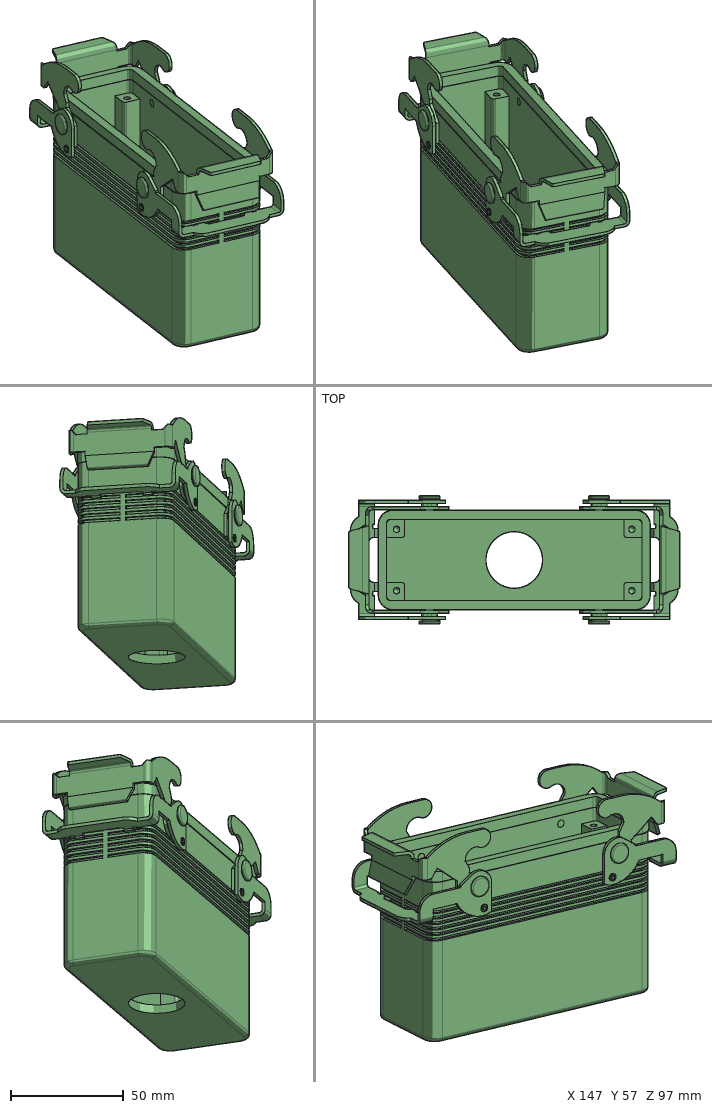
import cadquery as cq
import math

BODY_LENGTH = 120.0
BODY_WIDTH = 43.6
BODY_CORNER_R = 6.2
HOUSING_HEIGHT = 81.1
RIM_HEIGHT = 5.1
RIM_OVERHANG = 0.35
BOTTOM_EDGE_R = 2.0

CAVITY_LENGTH = 113.2
CAVITY_WIDTH = 35.8
CAVITY_CORNER_R = 1.8
CAVITY_RELIEF = 0.2
FLOOR_THICKNESS = 4.0
CABLE_HOLE_D = 25.0

POST_SIZE = 8.0
POST_EDGE_R = 1.5
POST_TOP = 69.5
POST_HOLE_D = 2.8
POST_HOLE_CONE_DEPTH = 0.85
POST_HOLE_DEPTH = 12.0
POST_HOLE_X = 52.2
POST_HOLE_Y = 13.6

GROOVE_COUNT = 6
GROOVE_TOP = 62.5
GROOVE_HEIGHT = 1.3
GROOVE_DEPTH = 1.3
GROOVE_PITCH = 2 * GROOVE_HEIGHT
END_RIB_WIDTH = 2.7

MARGIN = 1.0

SHEET = 1.5
PIVOT_X = -37.6
PIVOT_Z = 72.0
HOOK_OUTER_Y = 23.7
BAIL_OUTER_Y = 26.5
OVERALL_WIDTH = 57.0

PIN_SHANK_D = 3.4
PIN_HEAD_D = 9.4
PIN_HEAD_THICKNESS = 1.5
PIN_HEAD_EDGE_R = 0.6
PIN_NECK_D = 6.8
SPACER_LENGTH = 7.1
SPACER_HEIGHT = 5.2

HOOK_BACK_X = -65.9
HOOK_BEND_R = 2.8
HOOK_TOP = 97.0
HOOK_TIP_R = 4.3
HOOK_MOUTH_R = 5.25
HOOK_TIP_X = -33.35
HOOK_MOUTH_X = -37.5
HOOK_SHOULDER_X = -41.5
HOOK_BACK_TOP = 89.5
HOOK_BACK_BOTTOM = 79.3
HOOK_NECK_X = -40.5
HOOK_NECK_LOW_Z = 78.0
HOOK_NECK_TOP_Z = 80.3
HOOK_NOTCH_START_X = -61.0
HOOK_NOTCH_X = -57.7
HOOK_NOTCH_Z = 83.6
HOOK_HEEL_X = -46.9
HOOK_HEEL_TOP_Z = 75.2
HOOK_HEEL_LOW_Z = 70.3
HOOK_FOOT_X = -33.0
HOOK_FOOT_Z = 61.7

FINGER_TAB_X = -73.485
FINGER_TAB_TOP = 90.75
FINGER_TAB_TIP_WIDTH = 25.3
FINGER_TAB_ROOT_WIDTH = 30.4
FINGER_TAB_BEND_R = 1.35
FINGER_TAB_CORNER_R = 1.0
BACK_RECESS_Z = 87.15
BACK_RECESS_OUTER_Y = 19.9
SKIRT_TOP_WIDTH = 31.6
SKIRT_TIP_WIDTH = 27.4
SKIRT_BEND_Z = 77.3
SKIRT_TIP_X = -69.0
SKIRT_TIP_Z = 70.6
SKIRT_EDGE_R = 0.3

ARM_OUTER_X = -69.05
ARM_INNER_X = -61.9
ARM_TOP = 73.05
ARM_BOTTOM = 65.9
EYE_X = -37.3
EYE_R = 6.9
EYE_START_X = -40.6
ARM_STEP_X = -47.2
ARM_STEP_Z = 73.9
LOBE_LOW_X = -35.6
LOBE_LOW_Z = 57.3
LOBE_RIGHT_R = 13.7
LOBE_RIGHT_Z = 58.3
LOBE_MIDDLE_X = -43.2
LOBE_MIDDLE_Z = 59.6
LOBE_START_X = -49.1
CROSS_BOTTOM = 59.6
BAIL_BEND_R = 2.7
CROSS_LIP_X = -72.65
CROSS_LIP_HALF_WIDTH = 13.9
CROSS_LIP_ROOT_Y = 19.2
CROSS_LIP_CURVE_X = -71.3
CROSS_LIP_CURVE_Y = 17.2
CROSS_WINDOW_X = -64.5
CROSS_WINDOW_R = 2.2
RIVET_X = -34.6
RIVET_Z = 60.9
RIVET_D = 3.4
RIVET_HOLE_D = 1.8
RIVET_PROUD = 0.45
CATCH_INNER_Y = 9.9
CATCH_OUTER_Y = 14.0
CATCH_NOTCH_Y = 15.8
CATCH_NOTCH_X = -62.7
CATCH_TIP_X = -59.4
CATCH_CLEARANCE = 0.1


def rounded_block(length, width, corner_r, z_low, z_high):
    block = cq.Workplane("XY").workplane(offset=z_low).rect(length, width).extrude(z_high - z_low)
    return block.edges("|Z").fillet(corner_r)


def plate_along_y(outline, outer_y, thickness=SHEET):
    """Extrude a closed XZ outline inward (toward -Y) from the plane Y = outer_y."""
    return outline.extrude(thickness).translate((0, outer_y, 0))


def both_sides(shape):
    """The shape together with its mirror image across the XZ plane."""
    return shape.union(shape.mirror("XZ"))


def groove_band(top):
    """Ring cut around the body, interrupted by a rib in the middle of each end."""
    low = top - GROOVE_HEIGHT
    outside = rounded_block(
        BODY_LENGTH + 2 * MARGIN, BODY_WIDTH + 2 * MARGIN, BODY_CORNER_R + MARGIN, low, top
    )
    root = rounded_block(
        BODY_LENGTH - 2 * GROOVE_DEPTH,
        BODY_WIDTH - 2 * GROOVE_DEPTH,
        BODY_CORNER_R - GROOVE_DEPTH,
        low,
        top,
    )
    rib = cq.Workplane("XY").workplane(offset=low).rect(2 * BODY_LENGTH, END_RIB_WIDTH)
    rib = rib.extrude(GROOVE_HEIGHT)
    return outside.cut(root).cut(rib)


def corner_post(side_x, side_y):
    """Square screw post in one corner of the cavity."""
    reach = POST_SIZE + CAVITY_RELIEF + MARGIN
    centre_x = CAVITY_LENGTH / 2 - POST_SIZE + reach / 2
    centre_y = CAVITY_WIDTH / 2 - POST_SIZE + reach / 2
    post = cq.Workplane("XY").box(reach, reach, POST_TOP - FLOOR_THICKNESS, centered=(True, True, False))
    post = post.edges("|Z").edges("<X and <Y").fillet(POST_EDGE_R)
    post = post.translate((centre_x, centre_y, FLOOR_THICKNESS))
    hole = (
        cq.Workplane("XY")
        .workplane(offset=POST_TOP - POST_HOLE_DEPTH)
        .center(POST_HOLE_X, POST_HOLE_Y)
        .circle(POST_HOLE_D / 2)
        .extrude(POST_HOLE_DEPTH)
    )
    cone = cq.Workplane(
        cq.Solid.makeCone(
            POST_HOLE_D / 2,
            0,
            POST_HOLE_CONE_DEPTH,
            pnt=cq.Vector(POST_HOLE_X, POST_HOLE_Y, POST_TOP - POST_HOLE_DEPTH),
            dir=cq.Vector(0, 0, -1),
        )
    )
    post = post.cut(hole).cut(cone)
    if side_x < 0:
        post = post.mirror("YZ")
    if side_y < 0:
        post = post.mirror("XZ")
    return post


def make_housing():
    rim_z = HOUSING_HEIGHT - RIM_HEIGHT
    body = rounded_block(BODY_LENGTH, BODY_WIDTH, BODY_CORNER_R, 0, rim_z)
    body = body.faces("<Z").edges().fillet(BOTTOM_EDGE_R)
    body = body.union(
        rounded_block(
            BODY_LENGTH + 2 * RIM_OVERHANG,
            BODY_WIDTH + 2 * RIM_OVERHANG,
            BODY_CORNER_R + RIM_OVERHANG,
            rim_z,
            HOUSING_HEIGHT,
        )
    )
    for index in range(GROOVE_COUNT):
        body = body.cut(groove_band(GROOVE_TOP - index * GROOVE_PITCH))
    mouth = rounded_block(CAVITY_LENGTH, CAVITY_WIDTH, CAVITY_CORNER_R, FLOOR_THICKNESS, HOUSING_HEIGHT)
    lower_cavity = rounded_block(
        CAVITY_LENGTH + 2 * CAVITY_RELIEF,
        CAVITY_WIDTH + 2 * CAVITY_RELIEF,
        CAVITY_CORNER_R + CAVITY_RELIEF,
        FLOOR_THICKNESS,
        rim_z,
    )
    body = body.cut(mouth).cut(lower_cavity)
    for side_x in (-1, 1):
        for side_y in (-1, 1):
            body = body.union(corner_post(side_x, side_y))
    cable_hole = cq.Workplane("XY").circle(CABLE_HOLE_D / 2).extrude(FLOOR_THICKNESS)
    pivot_holes = (
        cq.Workplane("XZ")
        .pushPoints([(PIVOT_X, PIVOT_Z), (-PIVOT_X, PIVOT_Z)])
        .circle(PIN_SHANK_D / 2)
        .extrude(BODY_WIDTH, both=True)
    )
    return body.cut(cable_hole).cut(pivot_holes)


def hook_side_plate():
    """Hooked side plate; its mouth and rounded tip are tangent arcs."""
    tip_z = HOOK_TOP - HOOK_TIP_R
    centre_gap = HOOK_TIP_R + HOOK_MOUTH_R
    mouth_z = tip_z - math.sqrt(centre_gap**2 - (HOOK_TIP_X - HOOK_MOUTH_X) ** 2)
    mouth_diagonal = HOOK_MOUTH_R * math.sqrt(0.5)
    share = HOOK_MOUTH_R / centre_gap
    tangent_x = HOOK_MOUTH_X + share * (HOOK_TIP_X - HOOK_MOUTH_X)
    tangent_z = mouth_z + share * (tip_z - mouth_z)
    back_x = HOOK_BACK_X + HOOK_BEND_R
    outline = (
        cq.Workplane("XZ")
        .moveTo(HOOK_TIP_X, HOOK_TOP)
        .lineTo(HOOK_SHOULDER_X, HOOK_TOP)
        .tangentArcPoint((back_x, HOOK_BACK_TOP), relative=False)
        .lineTo(back_x, HOOK_BACK_BOTTOM)
        .lineTo(HOOK_NOTCH_START_X, HOOK_BACK_BOTTOM)
        .lineTo(HOOK_NOTCH_X, HOOK_NOTCH_Z)
        .lineTo(HOOK_HEEL_X, HOOK_HEEL_TOP_Z)
        .lineTo(HOOK_HEEL_X, HOOK_HEEL_LOW_Z)
        .tangentArcPoint((PIVOT_X, HOOK_FOOT_Z), relative=False)
        .lineTo(HOOK_FOOT_X, HOOK_FOOT_Z)
        .lineTo(HOOK_FOOT_X, PIVOT_Z)
        .lineTo(HOOK_NECK_X, HOOK_NECK_LOW_Z)
        .lineTo(HOOK_NECK_X, HOOK_NECK_TOP_Z)
        .lineTo(HOOK_MOUTH_X - HOOK_MOUTH_R, mouth_z)
        .threePointArc(
            (HOOK_MOUTH_X - mouth_diagonal, mouth_z + mouth_diagonal),
            (tangent_x, tangent_z),
        )
        .threePointArc((HOOK_TIP_X + HOOK_TIP_R, tip_z), (HOOK_TIP_X, HOOK_TOP))
        .close()
    )
    return plate_along_y(outline, HOOK_OUTER_Y)


def hook_back_plate():
    """U-bent back of the hook frame: the end plate with its two rounded bends."""
    height = HOOK_BACK_TOP - HOOK_BACK_BOTTOM
    width = 2 * HOOK_OUTER_Y
    depth = 4 * HOOK_BEND_R
    outer = rounded_block(depth, width, HOOK_BEND_R, 0, height)
    inner = rounded_block(depth - 2 * SHEET, width - 2 * SHEET, HOOK_BEND_R - SHEET, 0, height)
    ring = outer.cut(inner).translate((HOOK_BACK_X + depth / 2, 0, HOOK_BACK_BOTTOM))
    bend_zone = cq.Workplane("XY").box(HOOK_BEND_R, width, HOOK_BACK_TOP, centered=(False, True, False))
    frame = ring.intersect(bend_zone.translate((HOOK_BACK_X, 0, 0)))
    bend_y = HOOK_OUTER_Y - SHEET
    recess = (
        cq.Workplane("YZ")
        .moveTo(-bend_y, HOOK_BACK_TOP)
        .lineTo(-BACK_RECESS_OUTER_Y, BACK_RECESS_Z)
        .lineTo(BACK_RECESS_OUTER_Y, BACK_RECESS_Z)
        .lineTo(bend_y, HOOK_BACK_TOP)
        .close()
        .extrude(2 * HOOK_BACK_X)
    )
    return frame.cut(recess)


def finger_tab():
    """Tab folded outward from the top of the back plate, tapering toward its tip."""
    outer_r = FINGER_TAB_BEND_R + SHEET
    inner_x = HOOK_BACK_X + SHEET
    bend_x = inner_x - outer_r
    bend_z = FINGER_TAB_TOP - outer_r
    diagonal = math.sqrt(0.5)
    profile = (
        cq.Workplane("XZ")
        .moveTo(HOOK_BACK_X, HOOK_BACK_BOTTOM)
        .lineTo(inner_x, HOOK_BACK_BOTTOM)
        .lineTo(inner_x, bend_z)
        .threePointArc((bend_x + outer_r * diagonal, bend_z + outer_r * diagonal), (bend_x, FINGER_TAB_TOP))
        .lineTo(FINGER_TAB_X, FINGER_TAB_TOP)
        .lineTo(FINGER_TAB_X, FINGER_TAB_TOP - SHEET)
        .lineTo(bend_x, FINGER_TAB_TOP - SHEET)
        .threePointArc(
            (bend_x + FINGER_TAB_BEND_R * diagonal, bend_z + FINGER_TAB_BEND_R * diagonal),
            (HOOK_BACK_X, bend_z),
        )
        .close()
        .extrude(FINGER_TAB_ROOT_WIDTH / 2, both=True)
    )
    plan = (
        cq.Workplane("XY")
        .moveTo(inner_x, -FINGER_TAB_ROOT_WIDTH / 2)
        .lineTo(FINGER_TAB_X, -FINGER_TAB_TIP_WIDTH / 2)
        .lineTo(FINGER_TAB_X, FINGER_TAB_TIP_WIDTH / 2)
        .lineTo(inner_x, FINGER_TAB_ROOT_WIDTH / 2)
        .close()
        .extrude(FINGER_TAB_TOP)
        .edges("|Z and <X")
        .fillet(FINGER_TAB_CORNER_R)
    )
    return profile.intersect(plan)


def hook_skirt():
    """Flared lip hanging from the back plate, narrowing toward its lower edge."""
    run_x = SKIRT_TIP_X - HOOK_BACK_X
    run_z = SKIRT_TIP_Z - SKIRT_BEND_Z
    run = math.hypot(run_x, run_z)
    across_x = -run_z / run * SHEET
    across_z = run_x / run * SHEET
    half_angle = math.atan2(run_x, run_z) / 2
    inner_bend_z = SKIRT_BEND_Z - SHEET * math.tan(math.pi / 2 - abs(half_angle))
    profile = (
        cq.Workplane("XZ")
        .moveTo(HOOK_BACK_X, HOOK_BACK_BOTTOM)
        .lineTo(HOOK_BACK_X, SKIRT_BEND_Z)
        .lineTo(SKIRT_TIP_X, SKIRT_TIP_Z)
        .lineTo(SKIRT_TIP_X + across_x, SKIRT_TIP_Z + across_z)
        .lineTo(HOOK_BACK_X + SHEET, inner_bend_z)
        .lineTo(HOOK_BACK_X + SHEET, HOOK_BACK_BOTTOM)
        .close()
        .extrude(SKIRT_TOP_WIDTH / 2, both=True)
        .faces("<Z")
        .edges("|Y")
        .fillet(SKIRT_EDGE_R)
    )
    front = (
        cq.Workplane("YZ")
        .moveTo(-SKIRT_TOP_WIDTH / 2, HOOK_BACK_BOTTOM)
        .lineTo(-SKIRT_TOP_WIDTH / 2, SKIRT_BEND_Z)
        .lineTo(-SKIRT_TIP_WIDTH / 2, SKIRT_TIP_Z + across_z)
        .lineTo(SKIRT_TIP_WIDTH / 2, SKIRT_TIP_Z + across_z)
        .lineTo(SKIRT_TOP_WIDTH / 2, SKIRT_BEND_Z)
        .lineTo(SKIRT_TOP_WIDTH / 2, HOOK_BACK_BOTTOM)
        .close()
        .extrude(2 * HOOK_BACK_X)
    )
    return profile.intersect(front)


def bail_side_plate():
    """Side plate with an eye around the pivot, a lower lobe and a curved arm."""
    arm_r = ARM_TOP - ARM_BOTTOM
    eye_start_z = PIVOT_Z + math.sqrt(EYE_R**2 - (EYE_START_X - EYE_X) ** 2)
    eye_diagonal = EYE_R * math.sqrt(0.5)
    diagonal = arm_r * (1 - math.sqrt(0.5))
    outline = (
        cq.Workplane("XZ")
        .moveTo(ARM_OUTER_X, CROSS_BOTTOM + BAIL_BEND_R)
        .lineTo(ARM_OUTER_X, ARM_BOTTOM)
        .threePointArc((ARM_OUTER_X + diagonal, ARM_TOP - diagonal), (ARM_OUTER_X + arm_r, ARM_TOP))
        .lineTo(ARM_STEP_X, ARM_TOP)
        .lineTo(HOOK_HEEL_X, ARM_STEP_Z)
        .lineTo(EYE_START_X, eye_start_z)
        .threePointArc((EYE_X + eye_diagonal, PIVOT_Z + eye_diagonal), (EYE_X + EYE_R, PIVOT_Z))
        .lineTo(EYE_X + EYE_R, LOBE_RIGHT_Z)
        .radiusArc((LOBE_LOW_X, LOBE_LOW_Z), LOBE_RIGHT_R)
        .threePointArc((LOBE_MIDDLE_X, LOBE_MIDDLE_Z), (LOBE_START_X, ARM_BOTTOM))
        .lineTo(ARM_INNER_X, ARM_BOTTOM)
        .lineTo(ARM_INNER_X, CROSS_BOTTOM + BAIL_BEND_R)
        .close()
    )
    return plate_along_y(outline, BAIL_OUTER_Y)


def bail_bend():
    """Rounded bend that turns one side arm into the cross plate."""
    bend_y = BAIL_OUTER_Y - BAIL_BEND_R
    bend_z = CROSS_BOTTOM + BAIL_BEND_R
    length = ARM_INNER_X - ARM_OUTER_X
    ring = cq.Workplane("YZ").circle(BAIL_BEND_R).circle(BAIL_BEND_R - SHEET).extrude(length)
    quarter = cq.Workplane("YZ").rect(BAIL_BEND_R, -BAIL_BEND_R, centered=False).extrude(length)
    return ring.intersect(quarter).translate((ARM_OUTER_X, bend_y, bend_z))


def cross_plate_half():
    """Half (Y > 0) of the plate that joins the arms, with its catch notch and window."""
    edge_y = BAIL_OUTER_Y - BAIL_BEND_R
    outline = (
        cq.Workplane("XY")
        .workplane(offset=CROSS_BOTTOM)
        .moveTo(CROSS_LIP_X, 0)
        .lineTo(CROSS_LIP_X, CROSS_LIP_HALF_WIDTH)
        .threePointArc((CROSS_LIP_CURVE_X, CROSS_LIP_CURVE_Y), (ARM_OUTER_X, CROSS_LIP_ROOT_Y))
        .lineTo(ARM_OUTER_X, edge_y)
        .lineTo(ARM_INNER_X, edge_y)
        .lineTo(ARM_INNER_X, CATCH_NOTCH_Y)
        .lineTo(CATCH_NOTCH_X, CATCH_NOTCH_Y)
        .lineTo(CATCH_NOTCH_X, CATCH_OUTER_Y)
        .lineTo(ARM_INNER_X, CATCH_OUTER_Y)
        .lineTo(ARM_INNER_X, CATCH_INNER_Y)
        .lineTo(CROSS_WINDOW_X + CROSS_WINDOW_R, CATCH_INNER_Y)
        .radiusArc((CROSS_WINDOW_X, CATCH_INNER_Y - CROSS_WINDOW_R), -CROSS_WINDOW_R)
        .lineTo(CROSS_WINDOW_X, 0)
        .close()
    )
    return outline.extrude(SHEET)


def bail_catch():
    """Stepped catch that drops from the cross plate into the second groove."""
    groove_top = GROOVE_TOP - GROOVE_PITCH - CATCH_CLEARANCE
    groove_low = GROOVE_TOP - GROOVE_PITCH - GROOVE_HEIGHT + CATCH_CLEARANCE
    outside_x = -BODY_LENGTH / 2 - 2 * CATCH_CLEARANCE
    outline = (
        cq.Workplane("XZ")
        .moveTo(ARM_INNER_X, CROSS_BOTTOM + SHEET)
        .lineTo(outside_x, groove_top)
        .lineTo(CATCH_TIP_X, groove_top)
        .lineTo(CATCH_TIP_X, groove_low)
        .lineTo(ARM_INNER_X, groove_low)
        .close()
    )
    return plate_along_y(outline, CATCH_OUTER_Y, CATCH_OUTER_Y - CATCH_INNER_Y)


def rivet():
    """Hollow rivet in the lower lobe, slightly proud of the bail."""
    ring = cq.Workplane("XZ").center(RIVET_X, RIVET_Z).circle(RIVET_D / 2).circle(RIVET_HOLE_D / 2)
    return plate_along_y(ring, BAIL_OUTER_Y + RIVET_PROUD, SHEET + RIVET_PROUD)


def rivet_hole():
    hole = cq.Workplane("XZ").center(RIVET_X, RIVET_Z).circle(RIVET_HOLE_D / 2)
    return plate_along_y(hole, BAIL_OUTER_Y)


def pivot_pin():
    """Headed pin through both plates and the housing wall, with a flat-sided spacer between the plates."""
    head_y = OVERALL_WIDTH / 2
    centre = cq.Workplane("XZ").center(PIVOT_X, PIVOT_Z)
    head = plate_along_y(centre.circle(PIN_HEAD_D / 2), head_y, PIN_HEAD_THICKNESS)
    head = head.edges().fillet(PIN_HEAD_EDGE_R)
    neck_length = head_y - PIN_HEAD_THICKNESS - BAIL_OUTER_Y + SHEET
    neck = plate_along_y(centre.circle(PIN_NECK_D / 2), head_y - PIN_HEAD_THICKNESS, neck_length)
    spacer_y = BAIL_OUTER_Y - SHEET
    spacer = plate_along_y(centre.slot2D(SPACER_LENGTH, SPACER_HEIGHT), spacer_y, spacer_y - HOOK_OUTER_Y)
    inner_wall_y = CAVITY_WIDTH / 2 + CAVITY_RELIEF
    shank = plate_along_y(centre.circle(PIN_SHANK_D / 2), HOOK_OUTER_Y, HOOK_OUTER_Y - inner_wall_y)
    return head.union(neck).union(spacer).union(shank)


def make_latch():
    """Latch at the -X end of the housing."""
    side = hook_side_plate().union(pivot_pin())
    side = side.union(bail_side_plate()).union(bail_bend()).union(cross_plate_half())
    side = side.union(bail_catch()).cut(rivet_hole()).union(rivet())
    frame = hook_back_plate().union(finger_tab()).union(hook_skirt())
    return both_sides(side).union(frame)


housing = make_housing()
left_latch = make_latch()
latches = [left_latch, left_latch.mirror("YZ")]

result = cq.Compound.makeCompound([housing.val(), *[latch.val() for latch in latches]])